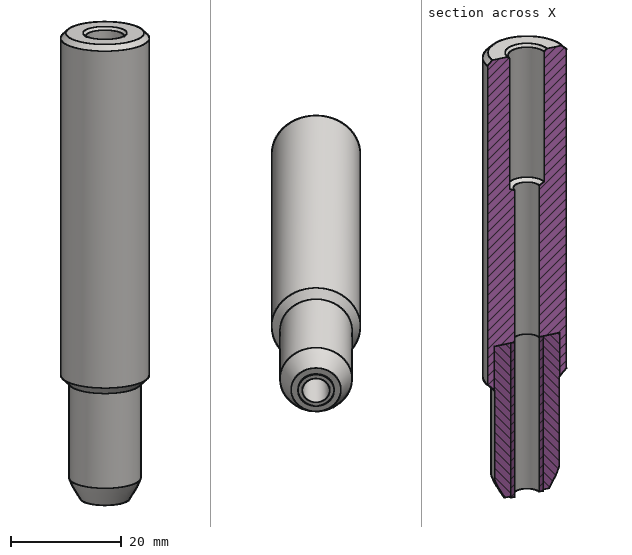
import cadquery as cq

TOTAL_LENGTH = 88.0
BODY_RADIUS = 8.0
BODY_TOP_CHAMFER = 1.0
SHOULDER_HEIGHT = 22.0
SHOULDER_CHAMFER = 1.5
PILOT_RADIUS = 6.5
PILOT_SEAT_DEPTH = 8.8
NOSE_HEIGHT = 4.1
NOSE_END_RADIUS = 4.5
NOSE_BULGE = 0.2
LINER_RADIUS = 3.3
LINER_PROTRUSION = 0.3
BORE_RADIUS = 2.5
SOCKET_RADIUS = 3.4
SOCKET_DEPTH = 26.4
SOCKET_CHAMFER = 0.5
SOCKET_CONE_HEIGHT = 0.5

SEAT_HEIGHT = SHOULDER_HEIGHT + PILOT_SEAT_DEPTH
SOCKET_FLOOR = TOTAL_LENGTH - SOCKET_DEPTH


def revolve(profile):
    """Turn a closed radius-height profile about the Z axis."""
    return profile.close().revolve(360, (0, 0, 0), (0, 1, 0))


def make_body():
    """Chamfered cylinder with a stepped bore and a seat for the pilot below."""
    return revolve(
        cq.Workplane("XZ")
        .moveTo(PILOT_RADIUS, SHOULDER_HEIGHT)
        .lineTo(BODY_RADIUS, SHOULDER_HEIGHT + SHOULDER_CHAMFER)
        .lineTo(BODY_RADIUS, TOTAL_LENGTH - BODY_TOP_CHAMFER)
        .lineTo(BODY_RADIUS - BODY_TOP_CHAMFER, TOTAL_LENGTH)
        .lineTo(SOCKET_RADIUS + SOCKET_CHAMFER, TOTAL_LENGTH)
        .lineTo(SOCKET_RADIUS, TOTAL_LENGTH - SOCKET_CHAMFER)
        .lineTo(SOCKET_RADIUS, SOCKET_FLOOR)
        .lineTo(BORE_RADIUS, SOCKET_FLOOR - SOCKET_CONE_HEIGHT)
        .lineTo(BORE_RADIUS, SEAT_HEIGHT)
        .lineTo(PILOT_RADIUS, SEAT_HEIGHT)
    )


def make_pilot():
    """Tube seated in the body, with a slightly bowed tapered nose at its lower end."""
    flank_radius = (PILOT_RADIUS + NOSE_END_RADIUS) / 2 + NOSE_BULGE
    flank_height = (LINER_PROTRUSION + NOSE_HEIGHT) / 2
    return revolve(
        cq.Workplane("XZ")
        .moveTo(LINER_RADIUS, LINER_PROTRUSION)
        .lineTo(NOSE_END_RADIUS, LINER_PROTRUSION)
        .threePointArc((flank_radius, flank_height), (PILOT_RADIUS, NOSE_HEIGHT))
        .lineTo(PILOT_RADIUS, SEAT_HEIGHT)
        .lineTo(LINER_RADIUS, SEAT_HEIGHT)
    )


def make_liner():
    """Straight tube lining the pilot and standing slightly out of its nose."""
    return revolve(
        cq.Workplane("XZ")
        .moveTo(BORE_RADIUS, 0)
        .lineTo(LINER_RADIUS, 0)
        .lineTo(LINER_RADIUS, SEAT_HEIGHT)
        .lineTo(BORE_RADIUS, SEAT_HEIGHT)
    )


body = make_body()
pilot = make_pilot()
liner = make_liner()

result = cq.Compound.makeCompound([body.val(), pilot.val(), liner.val()])